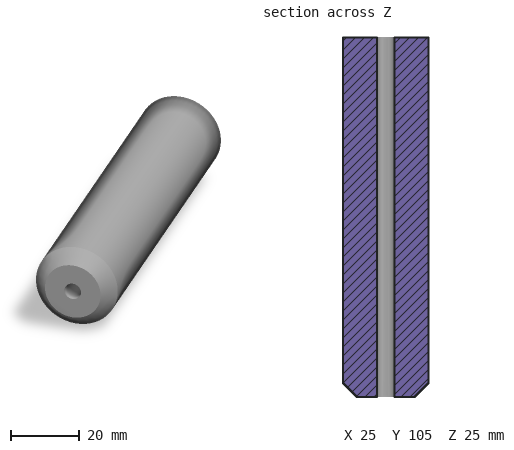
import cadquery as cq

length = 105.0
diameter = 25.0
chamfer = 4.0
bore_diameter = 5.0

bar = cq.Workplane("XZ").circle(diameter / 2).extrude(length)

bar = bar.faces("<Y").edges().chamfer(chamfer)

bore = cq.Workplane("XZ").circle(bore_diameter / 2).extrude(length)

result = bar.cut(bore)